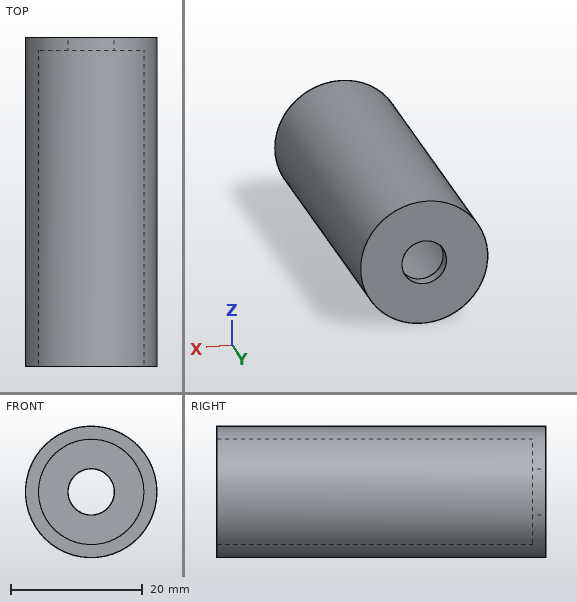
import cadquery as cq

length = 50.0
outer_diameter = 20.0
wall = 2.0
end_hole_diameter = 7.0

bore_diameter = outer_diameter - 2 * wall
bore_depth = length - wall


def cylinder_from_front(diameter, depth):
    """Cylinder along +Y, starting at the open front end."""
    front_plane = cq.Workplane("XZ", origin=(0, -length / 2, 0))
    return front_plane.circle(diameter / 2).extrude(-depth)


body = cylinder_from_front(outer_diameter, length)
bore = cylinder_from_front(bore_diameter, bore_depth)
end_hole = cylinder_from_front(end_hole_diameter, length)

result = body.cut(bore).cut(end_hole)